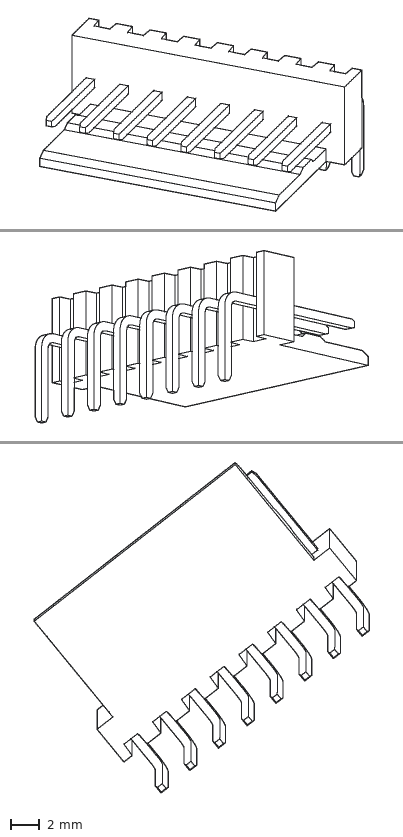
import cadquery as cq


overall_depth = 14.42
overall_height = 9.4

pin_count = 8
pitch = 2.54
row_length = (pin_count - 1) * pitch
pin_positions = [i * pitch - row_length / 2 for i in range(pin_count)]

wall_length = 20.57
wall_thickness = 2.97
wall_height = 5.97

slot_depth = 0.98
slot_mouth_width = 1.32
slot_floor_width = 1.2
slot_floor_y = wall_thickness - slot_depth

shelf_length = row_length
shelf_reach = 8.69
shelf_thickness = 0.97
shelf_lip_height = 0.64
shelf_bevel_depth = 0.62
ridge_height = 0.3
ridge_back = 2.22
ridge_top_back = 2.54
ridge_top_front = 3.94
ridge_front = 4.48

pin_size = 0.64
pin_axis_z = 2.6
pin_reach = 7.13
pin_back_y = overall_depth - shelf_reach
pin_bottom_z = wall_height - overall_height
bend_inner_radius = 0.5
bend_outer_radius = bend_inner_radius + pin_size
tip_length = 0.36
tip_size = 0.42


def make_wall():
    return cq.Workplane("XY").box(
        wall_length, wall_thickness, wall_height, centered=(True, False, False)
    )


def make_shelf():
    """Side outline of the shelf and its ridge, extruded along the row."""
    ridge_top = shelf_thickness + ridge_height
    outline = [
        (0, 0),
        (0, shelf_thickness),
        (-ridge_back, shelf_thickness),
        (-ridge_top_back, ridge_top),
        (-ridge_top_front, ridge_top),
        (-ridge_front, shelf_thickness),
        (shelf_bevel_depth - shelf_reach, shelf_thickness),
        (-shelf_reach, shelf_lip_height),
        (-shelf_reach, 0),
    ]
    return cq.Workplane("YZ").polyline(outline).close().extrude(shelf_length / 2, both=True)


def make_slot(x):
    """Full-height cutter for one slot, widening toward the back of the wall."""
    outline = [
        (x - slot_floor_width / 2, slot_floor_y),
        (x + slot_floor_width / 2, slot_floor_y),
        (x + slot_mouth_width / 2, wall_thickness),
        (x - slot_mouth_width / 2, wall_thickness),
    ]
    return cq.Workplane("XY").polyline(outline).close().extrude(wall_height)


def make_tip(plane):
    """Tapered pin end, growing along the normal of the given plane."""
    return (
        cq.Workplane(plane)
        .rect(pin_size, pin_size)
        .workplane(offset=tip_length)
        .rect(tip_size, tip_size)
        .loft()
    )


def make_pin(x):
    """Square pin: a contact running forward and a solder tail bent down behind the wall."""
    contact_end_y = tip_length - pin_reach
    tail_end_z = pin_bottom_z + tip_length
    tail_axis_y = pin_back_y - pin_size / 2
    bend_y = pin_back_y - bend_outer_radius
    bend_z = pin_axis_z + pin_size / 2 - bend_outer_radius

    path = (
        cq.Workplane("YZ", origin=(x, 0, 0))
        .moveTo(contact_end_y, pin_axis_z)
        .lineTo(bend_y, pin_axis_z)
        .tangentArcPoint((tail_axis_y, bend_z), relative=False)
        .lineTo(tail_axis_y, tail_end_z)
    )
    bar_section = cq.Workplane("XZ", origin=(x, contact_end_y, pin_axis_z)).rect(pin_size, pin_size)
    bar = bar_section.sweep(path)
    contact_tip = make_tip(cq.Plane((x, contact_end_y, pin_axis_z), (1, 0, 0), (0, -1, 0)))
    tail_tip = make_tip(cq.Plane((x, tail_axis_y, tail_end_z), (1, 0, 0), (0, 0, -1)))
    return bar.union(contact_tip).union(tail_tip)


def make_pin_hole(x):
    """Square cutter through the wall that fits one pin."""
    return cq.Workplane("XY", origin=(x, 0, pin_axis_z)).box(
        pin_size, wall_thickness, pin_size, centered=(True, False, True)
    )


housing = make_wall().union(make_shelf())
for x in pin_positions:
    housing = housing.cut(make_slot(x)).cut(make_pin_hole(x))

pins = [make_pin(x) for x in pin_positions]

result = cq.Compound.makeCompound([body.solids().val() for body in [housing, *pins]])